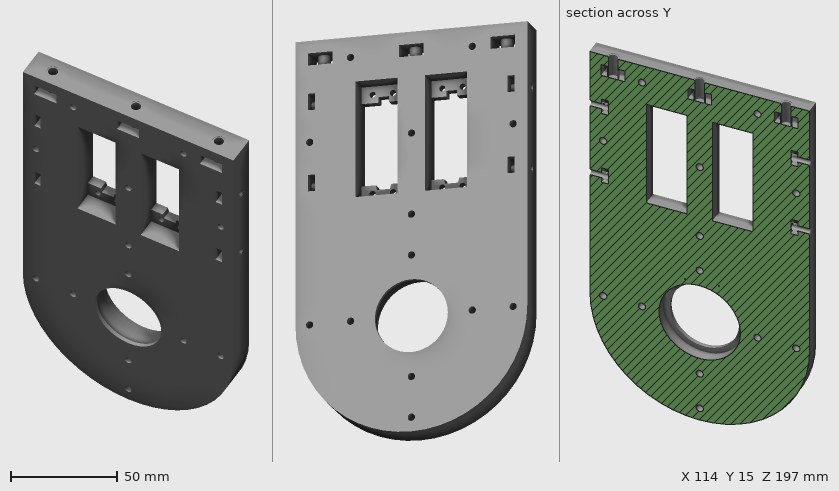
import cadquery as cq

width = 114.0
height = 197.0
thickness = 15.0
end_radius = width / 2
top_z = height - end_radius
mid_y = thickness / 2

lip_diameter = 35.9
lip_depth = 2.0
bore_diameter = 42.0

mount_diameter = 3.5
near_offset = 30.0
far_offset = 50.0
side_hole_z = 90.0
top_hole_z = 130.0

servo_x = 17.1
servo_z = 89.5
pocket_width = 20.7
pocket_height = 57.0
opening_height = 40.5
ledge_thickness = 5.0
notch_x = 16.7
upper_notch_width = 5.1
lower_notch_width = 6.3
lower_notch_mouth = 7.5
upper_notch_depth = 2.8
lower_notch_depth = 2.4
servo_hole_diameter = 3.0
servo_hole_pitch_x = 10.0
servo_hole_pitch_z = 48.9

mouth_depth = 0.2
top_screw_x = 45.0
top_wall = 6.1
top_slot_length = 12.0
top_slot_depth = 6.0
top_sleeve_diameter = 6.1
top_screw_diameter = 4.7
side_screw_z = (70.0, 110.0)
side_wall = 6.3
side_slot_length = 8.0
side_slot_depth = 3.3
side_sleeve_diameter = 4.0
side_screw_diameter = 2.8


def slot_box(x, z, size_x, size_z, y_start=0.0, y_end=thickness):
    """Box centred on (x, z) that spans the plate from y_start to y_end."""
    box = cq.Workplane("XY").box(size_x, y_end - y_start, size_z)
    return box.translate((x, (y_start + y_end) / 2, z))


def cylinders_along_y(points, diameter, y_start=0.0, y_end=thickness):
    """Cylinders parallel to Y at the given (x, z) points."""
    plane = cq.Workplane("XZ", origin=(0, y_start, 0))
    return plane.pushPoints(points).circle(diameter / 2).extrude(y_start - y_end)


def make_plate():
    """Flat plate with a square top and a half-round lower end."""
    return (
        cq.Workplane("XZ")
        .moveTo(-end_radius, top_z)
        .lineTo(-end_radius, 0)
        .threePointArc((0, -end_radius), (end_radius, 0))
        .lineTo(end_radius, top_z)
        .close()
        .extrude(-thickness)
    )


def cut_bore(part):
    """Large bore, narrower at the front lip."""
    lip = cylinders_along_y([(0, 0)], lip_diameter)
    bore = cylinders_along_y([(0, 0)], bore_diameter, y_start=lip_depth)
    return part.cut(lip).cut(bore)


def cut_mounting_holes(part):
    """Crosses of holes around the bore axis, plus the holes higher up the plate."""
    points = [(0, side_hole_z)]
    for offset in (near_offset, far_offset):
        points += [(-offset, 0), (offset, 0), (0, -offset), (0, offset)]
    for side in (-1, 1):
        points += [(side * far_offset, side_hole_z), (side * near_offset, top_hole_z)]
    return part.cut(cylinders_along_y(points, mount_diameter))


def make_lower_notch(x):
    """Notch in the lower ledge, widening toward the servo opening."""
    mouth_z = servo_z - opening_height / 2
    floor_z = mouth_z - lower_notch_depth
    corners = [
        (x - lower_notch_mouth / 2, mouth_z),
        (x - lower_notch_width / 2, floor_z),
        (x + lower_notch_width / 2, floor_z),
        (x + lower_notch_mouth / 2, mouth_z),
    ]
    return cq.Workplane("XZ").polyline(corners).close().extrude(-thickness)


def cut_servo_pocket(part, side):
    """Servo pocket on the given side (-1 or 1) with its ledges, notches and screw holes."""
    x = side * servo_x
    ledge_y = thickness - ledge_thickness
    part = part.cut(slot_box(x, servo_z, pocket_width, pocket_height, y_end=ledge_y))
    part = part.cut(slot_box(x, servo_z, pocket_width, opening_height))
    upper_notch_z = servo_z + (opening_height + upper_notch_depth) / 2
    part = part.cut(slot_box(side * notch_x, upper_notch_z, upper_notch_width, upper_notch_depth))
    part = part.cut(make_lower_notch(side * notch_x))
    holes = [
        (x + i * servo_hole_pitch_x / 2, servo_z + k * servo_hole_pitch_z / 2)
        for i in (-1, 1)
        for k in (-1, 1)
    ]
    return part.cut(cylinders_along_y(holes, servo_hole_diameter))


def add_nut_slot(
    part, edge, inward, slot_wall, slot_length, slot_depth, sleeve_diameter, screw_diameter
):
    """Nut slot, sleeve and screw hole entering the plate at the point `edge` in direction `inward`."""
    edge = cq.Vector(*edge)
    inward = cq.Vector(*inward)
    hole_depth = slot_wall + slot_depth
    center = edge + inward * (slot_wall + slot_depth / 2)
    along_x = abs(inward.x) > 0
    size_x = slot_depth if along_x else slot_length
    size_z = slot_length if along_x else slot_depth
    sleeve = cq.Solid.makeCylinder(sleeve_diameter / 2, slot_depth, edge + inward * slot_wall, inward)
    screw_hole = cq.Solid.makeCylinder(screw_diameter / 2, hole_depth, edge, inward)
    mouth = cq.Solid.makeCylinder(sleeve_diameter / 2, mouth_depth, edge, inward)
    part = part.cut(slot_box(center.x, center.z, size_x, size_z))
    return part.union(sleeve).cut(screw_hole).cut(mouth)


result = cut_mounting_holes(cut_bore(make_plate()))
for side in (-1, 1):
    result = cut_servo_pocket(result, side)
for x in (-top_screw_x, 0, top_screw_x):
    result = add_nut_slot(
        result, (x, mid_y, top_z), (0, 0, -1),
        top_wall, top_slot_length, top_slot_depth, top_sleeve_diameter, top_screw_diameter,
    )
for side in (-1, 1):
    for z in side_screw_z:
        result = add_nut_slot(
            result, (side * end_radius, mid_y, z), (-side, 0, 0),
            side_wall, side_slot_length, side_slot_depth, side_sleeve_diameter, side_screw_diameter,
        )